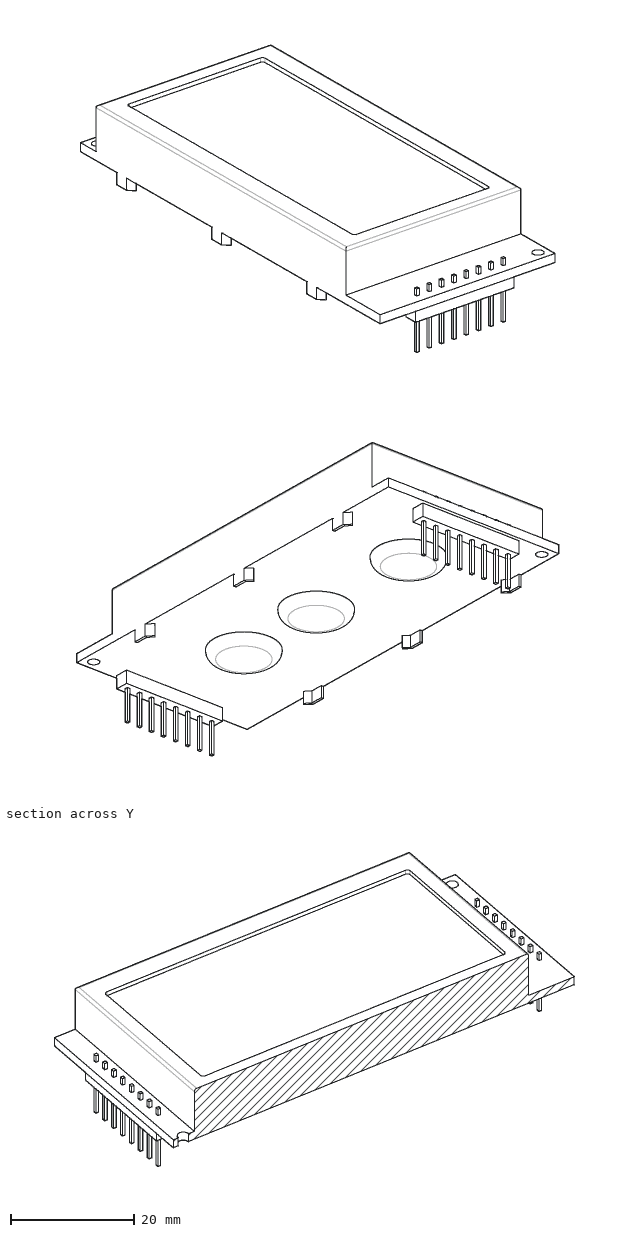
import cadquery as cq
import math

BOARD_LENGTH = 79
BOARD_WIDTH = 36.0
BOARD_THICKNESS = 1.65
BOARD_BOTTOM = 8.6
BOARD_TOP = BOARD_BOTTOM + BOARD_THICKNESS
MID_Y = BOARD_WIDTH / 2

HOLE_DIAMETER = 2.0
HOLE_INSET = 2.0

TOTAL_HEIGHT = 18.7
CASE_LEFT = 4.1
CASE_LENGTH = 65.9
CASE_MID_X = CASE_LEFT + CASE_LENGTH / 2
CASE_EDGE_RADIUS = 0.5
WINDOW_LENGTH = 59.9
WINDOW_WIDTH = 28.05
WINDOW_DEPTH = 0.8
WINDOW_CORNER_RADIUS = 0.55

PIN_COUNT = 8
PIN_SPAN = 17.8
PIN_PITCH = PIN_SPAN / (PIN_COUNT - 1)
PIN_SIZE = 0.55
PIN_TOP = 11.5
PIN_INSET = 2.0
HEADER_LENGTH = PIN_COUNT * PIN_PITCH
HEADER_WIDTH = 2.5
HEADER_HEIGHT = 2.45

TAB_PAIR_PITCH = 25.05
TAB_PAIR_SPAN = 4.6
TAB_PAIR_SHIFT = -0.15
TAB_MID_X = CASE_MID_X + TAB_PAIR_SHIFT
TAB_FLAT = 2.6
TAB_THICKNESS = 0.5
TAB_HEIGHT = 2.2
TAB_LEG_RUN = 1.1
TAB_LEG_ANGLE = 45

COVER_DIAMETER = 12.5
COVER_HEIGHT = 1.7
COVER_EDGE_RADIUS = 1.65
COVER_CENTRES_X = (16.5, 39.9, 58.2)


def block(x_mid, y_mid, z_low, size_x, size_y, size_z):
    """Box centred in X and Y that stands on z_low."""
    return cq.Workplane("XY", origin=(x_mid, y_mid, z_low)).box(
        size_x, size_y, size_z, centered=(True, True, False)
    )


def make_board():
    board = block(BOARD_LENGTH / 2, MID_Y, BOARD_BOTTOM, BOARD_LENGTH, BOARD_WIDTH, BOARD_THICKNESS)
    hole_centres = [
        (HOLE_INSET, HOLE_INSET),
        (BOARD_LENGTH - HOLE_INSET, BOARD_WIDTH - HOLE_INSET),
    ]
    holes = (
        cq.Workplane("XY", origin=(0, 0, BOARD_BOTTOM))
        .pushPoints(hole_centres)
        .circle(HOLE_DIAMETER / 2)
        .extrude(BOARD_THICKNESS)
    )
    return board.cut(holes)


def make_case():
    case = block(CASE_MID_X, MID_Y, BOARD_TOP, CASE_LENGTH, BOARD_WIDTH, TOTAL_HEIGHT - BOARD_TOP)
    case = case.faces(">Z").edges().fillet(CASE_EDGE_RADIUS)
    window_floor = TOTAL_HEIGHT - WINDOW_DEPTH
    window = block(CASE_MID_X, MID_Y, window_floor, WINDOW_LENGTH, WINDOW_WIDTH, WINDOW_DEPTH)
    return case.cut(window.edges("|Z").fillet(WINDOW_CORNER_RADIUS))


def make_header(x_mid):
    header_bottom = BOARD_BOTTOM - HEADER_HEIGHT
    header = block(x_mid, MID_Y, header_bottom, HEADER_WIDTH, HEADER_LENGTH, HEADER_HEIGHT)
    for index in range(PIN_COUNT):
        pin_y = MID_Y - PIN_SPAN / 2 + index * PIN_PITCH
        header = header.union(block(x_mid, pin_y, 0, PIN_SIZE, PIN_SIZE, PIN_TOP))
    return header


def make_front_tab(x_start):
    """Flat plate along the front edge whose right end is bent inward."""
    angle = math.radians(TAB_LEG_ANGLE)
    bend_x = x_start + TAB_FLAT
    tip_x = bend_x + TAB_LEG_RUN
    tip_y = TAB_LEG_RUN * math.tan(angle)
    inner_tip_x = tip_x - TAB_THICKNESS * math.sin(angle)
    inner_tip_y = tip_y + TAB_THICKNESS * math.cos(angle)
    inner_bend_x = bend_x - TAB_THICKNESS * math.tan(angle / 2)
    outline = [
        (x_start, 0),
        (bend_x, 0),
        (tip_x, tip_y),
        (inner_tip_x, inner_tip_y),
        (inner_bend_x, TAB_THICKNESS),
        (x_start, TAB_THICKNESS),
    ]
    return (
        cq.Workplane("XY", origin=(0, 0, BOARD_BOTTOM - TAB_HEIGHT))
        .polyline(outline)
        .close()
        .extrude(TAB_HEIGHT)
    )


def make_tab_pair(x_mid):
    """Front tab and its copy turned half a turn about the station centre."""
    front_tab = make_front_tab(x_mid - TAB_PAIR_SPAN / 2)
    rear_tab = front_tab.rotate((x_mid, MID_Y, 0), (x_mid, MID_Y, 1), 180)
    return front_tab.union(rear_tab)


def make_cover(x_mid):
    cover = (
        cq.Workplane("XY", origin=(x_mid, MID_Y, BOARD_BOTTOM))
        .circle(COVER_DIAMETER / 2)
        .extrude(-COVER_HEIGHT)
    )
    return cover.faces("<Z").edges().fillet(COVER_EDGE_RADIUS)


result = make_board().union(make_case())
for header_x in (PIN_INSET, BOARD_LENGTH - PIN_INSET):
    result = result.union(make_header(header_x))
for station in (-1, 0, 1):
    result = result.union(make_tab_pair(TAB_MID_X + station * TAB_PAIR_PITCH))
for cover_x in COVER_CENTRES_X:
    result = result.union(make_cover(cover_x))